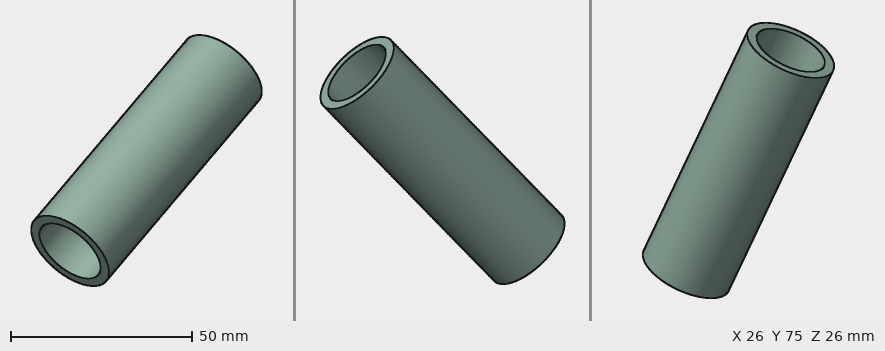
import cadquery as cq

length = 75.0
outer_diameter = 26.0
bore_diameter = 20.4

result = (
    cq.Workplane("XZ", origin=(0, length / 2, 0))
    .circle(outer_diameter / 2)
    .circle(bore_diameter / 2)
    .extrude(length)
)